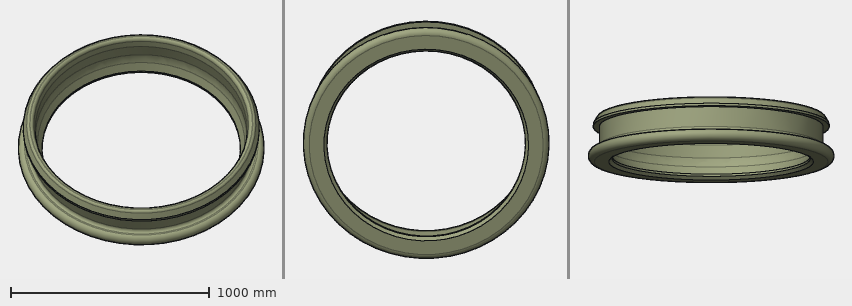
import cadquery as cq

height = 230.0
outer_radius = 618.0
bore_radius = 995.0 / 2
neck_radius = 1125.0 / 2
lip_radius = 1185.0 / 2
wall_radius = 1065.0 / 2

bead_height = 60.0
bead_round = bead_height / 2
neck_round = 17.0
lip_bottom = 179.0
lip_top = 191.0
rim_corner_radius = 570.0
rim_outer_round = 17.0

mouth_corner_radius = 542.0
mouth_bottom = 182.0
mouth_round = 20.0
cone_top = 90.0
cone_bottom = 27.0
cone_round = 99.0
bore_chamfer = 16.0

MATCH_TOLERANCE = 0.01


def revolve_section():
    """Revolve the cross-section with sharp corners, except for the half-round bead."""
    bead_center_radius = outer_radius - bead_round
    return (
        cq.Workplane("XZ")
        .moveTo(bore_radius, bore_chamfer)
        .lineTo(bore_radius + bore_chamfer, 0)
        .lineTo(bead_center_radius, 0)
        .threePointArc((outer_radius, bead_round), (bead_center_radius, bead_height))
        .lineTo(neck_radius, bead_height)
        .lineTo(neck_radius, lip_bottom)
        .lineTo(lip_radius, lip_bottom)
        .lineTo(lip_radius, lip_top)
        .lineTo(rim_corner_radius, height)
        .lineTo(mouth_corner_radius, height)
        .lineTo(wall_radius, mouth_bottom)
        .lineTo(wall_radius, cone_top)
        .lineTo(bore_radius, cone_bottom)
        .close()
        .revolve(360, (0, 0, 0), (0, 1, 0))
    )


def round_circle(body, circle_radius, z, fillet_radius):
    """Fillet the circular edge of the given radius at height z."""

    def is_wanted(edge):
        return (
            edge.geomType() == "CIRCLE"
            and abs(edge.radius() - circle_radius) < MATCH_TOLERANCE
            and abs(edge.arcCenter().z - z) < MATCH_TOLERANCE
        )

    return body.edges().filter(is_wanted).fillet(fillet_radius)


rounded_corners = [
    (neck_radius, bead_height, neck_round),
    (rim_corner_radius, height, rim_outer_round),
    (mouth_corner_radius, height, mouth_round),
    (wall_radius, cone_top, cone_round),
]

result = revolve_section()
for corner_radius, corner_z, corner_round in rounded_corners:
    result = round_circle(result, corner_radius, corner_z, corner_round)